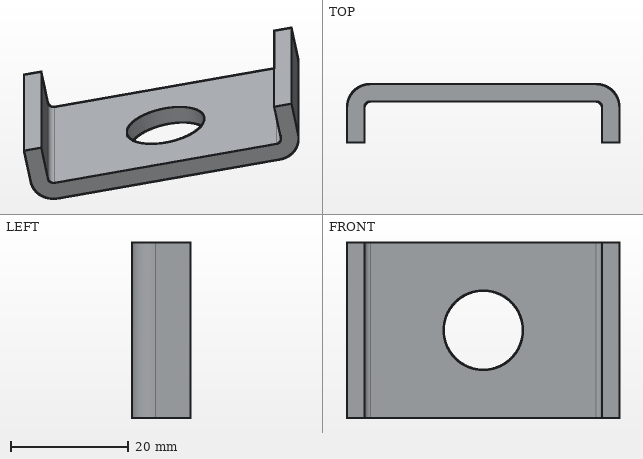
import cadquery as cq

width = 46.5
depth = 10.0
height = 30.0
thickness = 3.0
outer_bend_radius = 4.0
hole_diameter = 13.5

inner_bend_radius = outer_bend_radius - thickness


def make_channel():
    """Bent sheet: a web at +Y with two flanges reaching toward -Y."""
    outer = (
        cq.Workplane("XY")
        .box(width, depth, height)
        .edges("|Z and >Y")
        .fillet(outer_bend_radius)
    )
    inner = (
        cq.Workplane("XY")
        .box(width - 2 * thickness, depth, height)
        .edges("|Z and >Y")
        .fillet(inner_bend_radius)
        .translate((0, -thickness, 0))
    )
    return outer.cut(inner)


def make_web_hole():
    """Cutter along Y through the centre of the web."""
    return (
        cq.Workplane("XZ")
        .circle(hole_diameter / 2)
        .extrude(depth / 2, both=True)
    )


result = make_channel().cut(make_web_hole())